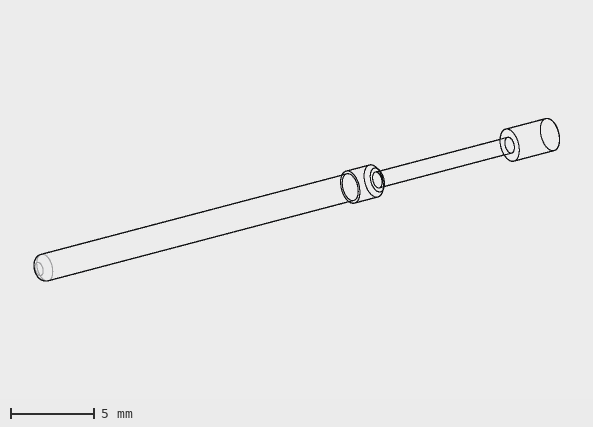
import cadquery as cq

total_length = 37.8

head_diameter = 2.0
head_length = 3.0

plunger_diameter = 1.0

collar_diameter = 2.0
collar_length = 2.0
collar_chamfer = 0.25

barrel_diameter = 1.65
barrel_length = 23.02
tail_fillet = 0.4

tail_y = -total_length / 2
collar_y = tail_y + barrel_length
plunger_y = collar_y + collar_length
head_y = total_length / 2 - head_length


def cylinder_along_y(diameter, start_y, length):
    """Round bar on the Y axis, running from start_y toward +Y."""
    start_plane = cq.Plane(origin=(0, start_y, 0), xDir=(1, 0, 0), normal=(0, 1, 0))
    return cq.Workplane(start_plane).circle(diameter / 2).extrude(length)


barrel = cylinder_along_y(barrel_diameter, tail_y, barrel_length)
barrel = barrel.faces("<Y").edges().fillet(tail_fillet)

collar = cylinder_along_y(collar_diameter, collar_y, collar_length)
collar = collar.faces(">Y").edges().chamfer(collar_chamfer)

plunger = cylinder_along_y(plunger_diameter, plunger_y, head_y - plunger_y)
head = cylinder_along_y(head_diameter, head_y, head_length)

result = barrel.union(collar).union(plunger).union(head)